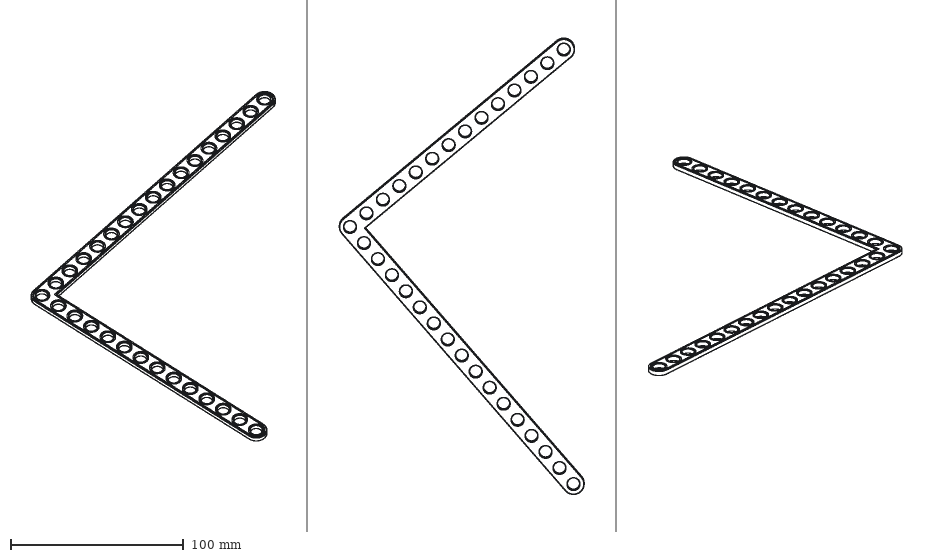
import cadquery as cq

LONG_ARM_LENGTH = 212.5
LONG_ARM_HOLES = 17
SHORT_ARM_HOLES = 14
THICKNESS = 3.2
HOLE_DIAMETER = 7.0
RING_DIAMETER = 9.1
RIM_WIDTH = 1.13
RECESS_DEPTH = 0.2
EDGE_CHAMFER = 0.35

PITCH = LONG_ARM_LENGTH / LONG_ARM_HOLES
ARM_WIDTH = PITCH


def arm(hole_count, angle, inset, height):
    """Round-ended bar from the corner hole along the given angle, shrunk all round by the inset."""
    return (
        cq.Workplane("XY")
        .transformed(rotate=(0, 0, angle))
        .center((hole_count - 1) * PITCH / 2, 0)
        .slot2D(hole_count * PITCH - 2 * inset, ARM_WIDTH - 2 * inset)
        .extrude(height)
    )


def angle_plate(inset, height):
    """L-shaped plate made of the two arms, shrunk all round by the inset."""
    short_arm = arm(SHORT_ARM_HOLES, 0, inset, height)
    long_arm = arm(LONG_ARM_HOLES, 90, inset, height)
    return short_arm.union(long_arm).clean()


def cylinders(diameter, height):
    """One cylinder at the corner hole and at every other hole along both arms."""
    short_arm = [(i * PITCH, 0) for i in range(SHORT_ARM_HOLES)]
    long_arm = [(0, i * PITCH) for i in range(1, LONG_ARM_HOLES)]
    return cq.Workplane("XY").pushPoints(short_arm + long_arm).circle(diameter / 2).extrude(height)


plate = angle_plate(0, THICKNESS).cut(cylinders(HOLE_DIAMETER, THICKNESS))
plate = plate.faces("<Z or >Z").chamfer(EDGE_CHAMFER)

recess = angle_plate(RIM_WIDTH, RECESS_DEPTH).cut(cylinders(RING_DIAMETER, RECESS_DEPTH))
recess = recess.translate((0, 0, THICKNESS - RECESS_DEPTH))

result = plate.cut(recess)